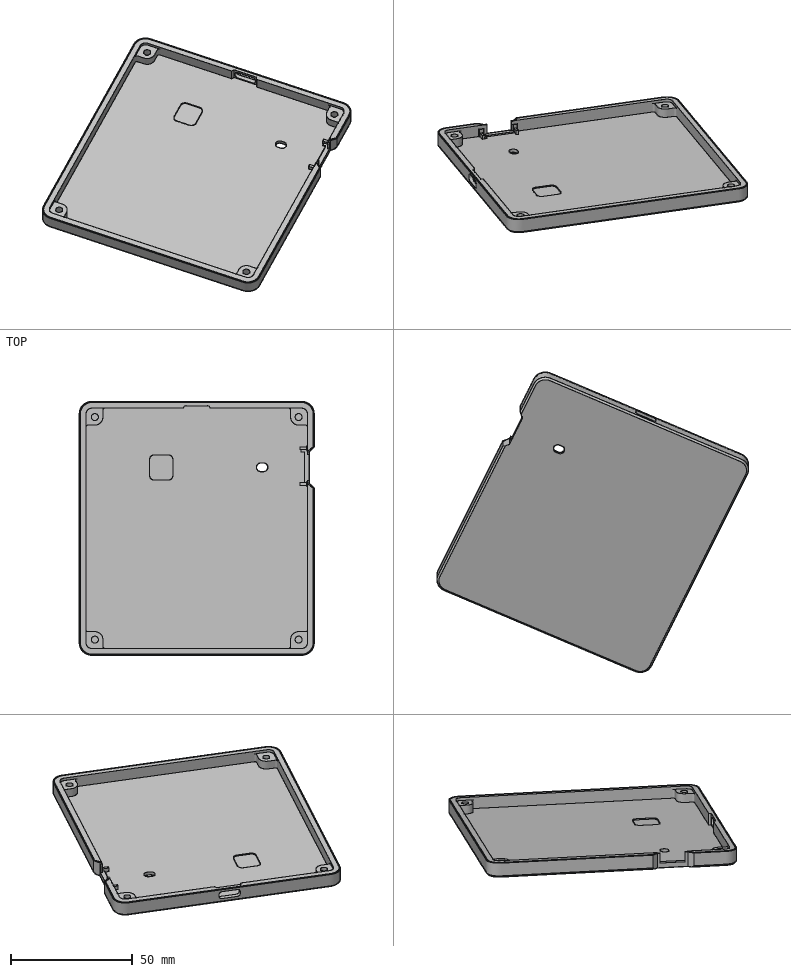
import cadquery as cq

LENGTH_X = 96.6
LENGTH_Y = 104.34
HEIGHT = 6.44
WALL = 2.8
FLOOR = 1.5
CORNER_RADIUS = 5.2
INNER_CORNER_RADIUS = CORNER_RADIUS - WALL
BOTTOM_CHAMFER = 0.8
RIM_STEP_WIDTH = 0.45
RIM_STEP_DEPTH = 0.2
HALF_X = LENGTH_X / 2
HALF_Y = LENGTH_Y / 2
INNER_X = HALF_X - WALL
INNER_Y = HALF_Y - WALL

SCREW_INSET = 6.45
SCREW_X = HALF_X - SCREW_INSET
SCREW_Y = HALF_Y - SCREW_INSET
SCREW_DIAMETER = 2.85
BOSS_RADIUS = 3.3
BOSS_TOP = HEIGHT - 1.2
BOSS_BLEND_RADIUS = 0.8

PORT_RECESS_WIDTH = 11.2
PORT_RECESS_DEPTH = 1.0
PORT_RECESS_FLARE = 0.6
PORT_WIDTH = 9.0
PORT_HEIGHT = 3.3
PORT_BOTTOM = FLOOR + 0.5
PORT_CORNER_RADIUS = 1.2

RECESS_SIZE_X = 9.6
RECESS_SIZE_Y = 10.4
RECESS_X = -14.6
RECESS_Y = 25.0
RECESS_DEPTH = 0.5
RECESS_RADIUS = 2.0

OBLONG_LENGTH = 4.6
OBLONG_WIDTH = 3.5
OBLONG_X = 26.85
OBLONG_Y = 25.1

NOTCH_Y = 25.0
NOTCH_OUTER_WIDTH = 17.0
NOTCH_BASE_WIDTH = 12.8
NOTCH_BASE_X = 46.25
NOTCH_OPENING_WIDTH = 10.5
SILL_WIDTH = 12.6
SILL_INNER_X = 44.2
SILL_TOP = FLOOR + 0.6

BLOCK_INNER_X = 42.4
FOOT_INNER_X = 42.8
BLOCK_TOP = FLOOR + 1.7
BLOCK_WIDTH = 1.1
BLOCK_CENTRES_Y = (18.2, 32.9)
PAD_THICKNESS = 0.4
PAD_BASE_WIDTH = 2.4
PAD_FACE_WIDTH = 1.6
PAD_TOP = FLOOR + 3.3


def rounded_block(size_x, size_y, bottom, top, radius):
    """Upright block centred on the Z axis with rounded vertical corners."""
    block = cq.Workplane("XY").workplane(offset=bottom).rect(size_x, size_y).extrude(top - bottom)
    return block.edges("|Z").fillet(radius)


def box_between(x_range, y_range, z_range):
    """Box given by its limits along each axis."""
    spans = [high - low for low, high in (x_range, y_range, z_range)]
    corner = (x_range[0], y_range[0], z_range[0])
    return cq.Workplane("XY").box(*spans, centered=False).translate(corner)


def tray():
    body = rounded_block(LENGTH_X, LENGTH_Y, 0, HEIGHT, CORNER_RADIUS)
    body = body.faces("<Z").edges().chamfer(BOTTOM_CHAMFER)
    return body.cut(cavity())


def cavity():
    """Space inside the walls, kept clear of the corner bosses below their tops."""
    upper = rounded_block(2 * INNER_X, 2 * INNER_Y, BOSS_TOP, HEIGHT, INNER_CORNER_RADIUS)
    return upper.union(space_between_bosses())


def space_between_bosses():
    """Cross-shaped space with each boss rounded about its screw and blended into the walls."""
    boss_edge_x = SCREW_X - BOSS_RADIUS
    boss_edge_y = SCREW_Y - BOSS_RADIUS
    z_range = (FLOOR, BOSS_TOP)
    cross = box_between((-INNER_X, INNER_X), (-boss_edge_y, boss_edge_y), z_range)
    cross = cross.union(box_between((-boss_edge_x, boss_edge_x), (-INNER_Y, INNER_Y), z_range))
    wall_corners = "<X or >X or <Y or >Y"
    cross = cross.edges("|Z").edges(f"not ({wall_corners})").fillet(BOSS_RADIUS)
    boss_blends = cross.faces(wall_corners).edges("|Z")
    return boss_blends.fillet(BOSS_BLEND_RADIUS)


def screw_holes():
    points = [(x, y) for x in (-SCREW_X, SCREW_X) for y in (-SCREW_Y, SCREW_Y)]
    plane = cq.Workplane("XY").workplane(offset=FLOOR)
    return plane.pushPoints(points).circle(SCREW_DIAMETER / 2).extrude(HEIGHT - FLOOR)


def port_cut():
    half = PORT_RECESS_WIDTH / 2
    recess = (
        cq.Workplane("XY")
        .workplane(offset=FLOOR)
        .moveTo(-half, INNER_Y)
        .lineTo(-half + PORT_RECESS_FLARE, INNER_Y + PORT_RECESS_DEPTH)
        .lineTo(half - PORT_RECESS_FLARE, INNER_Y + PORT_RECESS_DEPTH)
        .lineTo(half, INNER_Y)
        .close()
        .extrude(HEIGHT - FLOOR)
    )
    opening = cq.Workplane("XY").box(PORT_WIDTH, 2 * WALL, PORT_HEIGHT).edges("|Y").fillet(PORT_CORNER_RADIUS)
    return recess.union(opening.translate((0, HALF_Y - WALL / 2, PORT_BOTTOM + PORT_HEIGHT / 2)))


def floor_cuts():
    recess = rounded_block(RECESS_SIZE_X, RECESS_SIZE_Y, FLOOR - RECESS_DEPTH, FLOOR, RECESS_RADIUS)
    oblong = cq.Workplane("XY").slot2D(OBLONG_LENGTH, OBLONG_WIDTH).extrude(FLOOR)
    recess = recess.translate((RECESS_X, RECESS_Y, 0))
    return recess.union(oblong.translate((OBLONG_X, OBLONG_Y, 0)))


def notch_flare(offset, bottom):
    """Flared part of the notch, grown outward by an offset, from a given height up to the rim."""
    half_outer = NOTCH_OUTER_WIDTH / 2 + offset
    half_base = NOTCH_BASE_WIDTH / 2 + offset
    base_x = NOTCH_BASE_X - offset
    return (
        cq.Workplane("XY")
        .workplane(offset=bottom)
        .moveTo(base_x, NOTCH_Y - half_base)
        .lineTo(HALF_X, NOTCH_Y - half_outer)
        .lineTo(HALF_X, NOTCH_Y + half_outer)
        .lineTo(base_x, NOTCH_Y + half_base)
        .close()
        .extrude(HEIGHT - bottom)
    )


def notch_cut():
    """Flare through the full height, and an opening through the thin wall above the sill."""
    half = NOTCH_OPENING_WIDTH / 2
    opening = box_between((INNER_X, HALF_X), (NOTCH_Y - half, NOTCH_Y + half), (SILL_TOP, HEIGHT))
    return notch_flare(0, 0).union(opening)


def rim_step():
    """Shallow step that lowers the outer edge of the rim, also around the notch."""
    bottom = HEIGHT - RIM_STEP_DEPTH
    outline = rounded_block(LENGTH_X, LENGTH_Y, bottom, HEIGHT, CORNER_RADIUS)
    raised = rounded_block(
        LENGTH_X - 2 * RIM_STEP_WIDTH,
        LENGTH_Y - 2 * RIM_STEP_WIDTH,
        bottom,
        HEIGHT,
        CORNER_RADIUS - RIM_STEP_WIDTH,
    )
    thin_wall = box_between(
        (INNER_X, HALF_X),
        (NOTCH_Y - NOTCH_BASE_WIDTH / 2, NOTCH_Y + NOTCH_BASE_WIDTH / 2),
        (bottom, HEIGHT),
    )
    return outline.cut(raised).union(notch_flare(RIM_STEP_WIDTH, bottom)).union(thin_wall)


def notch_sill():
    half = SILL_WIDTH / 2
    return box_between((SILL_INNER_X, INNER_X), (NOTCH_Y - half, NOTCH_Y + half), (FLOOR, SILL_TOP))


def wall_pad(y):
    """Pad on the inside of the +X wall with bevelled sides."""
    face_x = INNER_X - PAD_THICKNESS
    return (
        cq.Workplane("XY")
        .workplane(offset=FLOOR)
        .moveTo(INNER_X, y - PAD_BASE_WIDTH / 2)
        .lineTo(face_x, y - PAD_FACE_WIDTH / 2)
        .lineTo(face_x, y + PAD_FACE_WIDTH / 2)
        .lineTo(INNER_X, y + PAD_BASE_WIDTH / 2)
        .close()
        .extrude(PAD_TOP - FLOOR)
    )


def guides():
    """Blocks with wall pads at both ends of the sill, and the low foot inside the +Y one."""
    foot_y_range = (NOTCH_Y + SILL_WIDTH / 2, BLOCK_CENTRES_Y[1])
    parts = box_between((FOOT_INNER_X, INNER_X), foot_y_range, (FLOOR, SILL_TOP))
    for y in BLOCK_CENTRES_Y:
        block_y_range = (y - BLOCK_WIDTH / 2, y + BLOCK_WIDTH / 2)
        parts = parts.union(box_between((BLOCK_INNER_X, INNER_X), block_y_range, (FLOOR, BLOCK_TOP)))
        parts = parts.union(wall_pad(y))
    return parts


result = tray().cut(notch_cut()).cut(rim_step()).cut(port_cut()).cut(screw_holes()).cut(floor_cuts())
result = result.union(notch_sill()).union(guides())